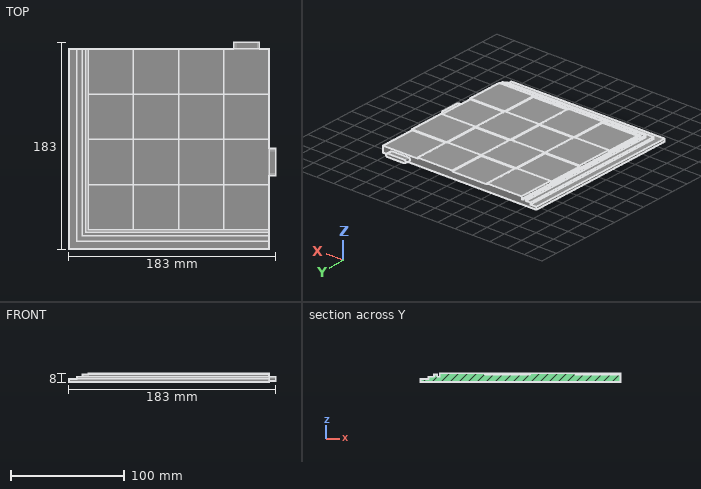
import cadquery as cq


squares_per_side = 4
square_size = 40.0
low_square_top = 7.0
high_square_top = 8.0

base_ledge_width = 7.0
middle_ledge_width = 5.0
lip_width = 3.0
groove_width = 2.0
base_top = 3.0
middle_top = 5.0
lip_top = 7.0

tongue_reach = 6.0
tongue_mid_height = 3.0
right_tongue_length = 24.0
right_tongue_thickness = 4.0
back_tongue_length = 22.8
back_tongue_thickness = 3.6
right_tongue_row = 1
back_tongue_column = 3

middle_inset = base_ledge_width
lip_inset = middle_inset + middle_ledge_width
groove_inset = lip_inset + lip_width
field_inset = groove_inset + groove_width
board_size = field_inset + squares_per_side * square_size


def corner_slab(inset, bottom, top):
    """Square slab set in from the -X and -Y edges, flush with the +X and +Y edges."""
    side = board_size - inset
    slab = cq.Workplane("XY").box(side, side, top - bottom, centered=False)
    return slab.translate((inset, inset, bottom))


def square_center(index):
    """Distance from the outer frame edge to the centre of a row or column of squares."""
    return field_inset + (index + 0.5) * square_size


def stepped_frame():
    """Base, middle step and raised lip; the lip encloses a recess for the squares."""
    frame = corner_slab(0, 0, base_top)
    frame = frame.union(corner_slab(middle_inset, base_top, middle_top))
    lip = corner_slab(lip_inset, middle_top, lip_top)
    lip = lip.cut(corner_slab(groove_inset, middle_top, lip_top))
    return frame.union(lip)


def playing_field():
    """Low field with every second square raised; the -X, -Y corner square is low."""
    field = corner_slab(field_inset, middle_top, low_square_top)
    raised_height = high_square_top - middle_top
    for column in range(squares_per_side):
        for row in range(squares_per_side):
            if (column + row) % 2 == 1:
                square = cq.Workplane("XY").box(
                    square_size, square_size, raised_height, centered=(True, True, False)
                )
                field = field.union(
                    square.translate((square_center(column), square_center(row), middle_top))
                )
    return field


def tongue(plane, position, length, thickness):
    """Round-ended bar standing out of the edge face that the plane lies on."""
    return (
        cq.Workplane(plane)
        .center(position, tongue_mid_height)
        .slot2D(length, thickness)
        .extrude(tongue_reach)
    )


right_edge = cq.Plane(origin=(board_size, 0, 0), xDir=(0, 1, 0), normal=(1, 0, 0))
back_edge = cq.Plane(origin=(0, board_size, 0), xDir=(-1, 0, 0), normal=(0, 1, 0))

right_tongue = tongue(
    right_edge, square_center(right_tongue_row), right_tongue_length, right_tongue_thickness
)
back_tongue = tongue(
    back_edge, -square_center(back_tongue_column), back_tongue_length, back_tongue_thickness
)

result = stepped_frame().union(playing_field()).union(right_tongue).union(back_tongue)